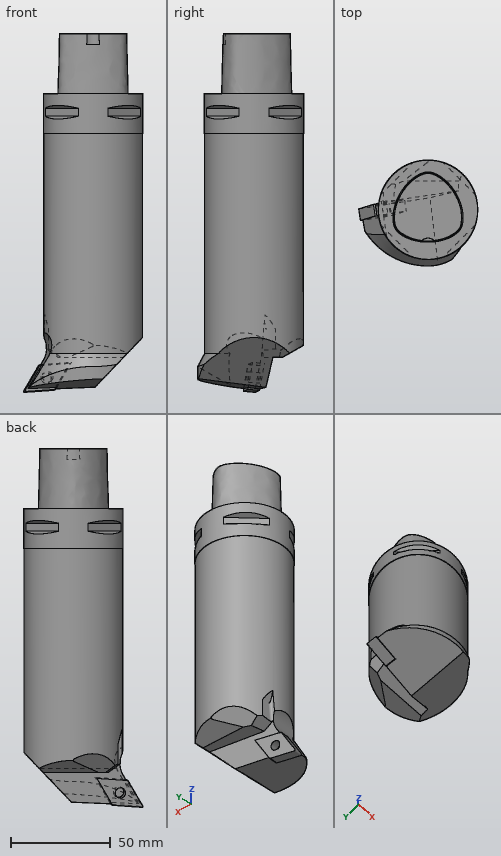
import cadquery as cq
import math

TOTAL_HEIGHT = 180.0
COLLAR_DIAMETER = 50.0
SHANK_DIAMETER = 49.7
COLLAR_BOTTOM = 130.0
COLLAR_TOP = 150.0
BIG = 108.0

TANG_BASE_RADIUS = 17.6
TANG_TOP_RADIUS = 17.0
LOBE_HEIGHT = 1.35
TANG_POINTS = 48
KEYWAY_RADIUS = 4.5
KEYWAY_CENTER_Y = -18.7
KEYWAY_DEPTH = 5.4

GROOVE_COUNT = 4
GROOVE_Z = 140.5
GROOVE_FLOOR_DISTANCE = 22.1
GROOVE_FLOOR_HEIGHT = 4.0
GROOVE_MOUTH_HEIGHT = 6.8

FLARE_TOP = 19.5
FLARE_HALF_ANGLE = 28.0
WALL_FRONT_Y = -28.3
WALL_LEFT_RADIUS = 37.5
WALL_RIGHT_RADIUS = 23.4
SLOPE_ANGLE = 46.3
SLOPE_TOP_Z = 27.5
END_FACE_Z = 1.0
END_FACE_RISE_X = 0.06
END_FACE_RISE_Y = -0.12

TIP = cq.Vector(-35.3, 0.4, -0.07)
RAKE_SLOPE_X = 0.15
RAKE_SLOPE_Z = 0.09
RAKE_PLANE = cq.Plane(
    origin=TIP.toTuple(),
    xDir=(1, RAKE_SLOPE_X, 0),
    normal=(RAKE_SLOPE_X, -1, RAKE_SLOPE_Z),
)

INSERT_SIDE = 15.8
INSERT_CORNER_ANGLE = 55.0
INSERT_TILT = 4.0
FLANK_ANGLE = INSERT_CORNER_ANGLE + INSERT_TILT
INSERT_THICKNESS = 6.0
INSERT_HOLE_DIAMETER = 5.2
INSERT_NOSE_RADIUS = 0.5

FACET_SETBACK = 0.7
RELIEF_RADIUS = 11.5
RELIEF_TANGENT_HEIGHT = 16.4

FLUTE_CORNER = (0, 14.4, 17.6)
FLUTE_FLANK_RISE = 0.57
MOUTH_CORNER = (-21.0, 13.5, 21.2)
MOUTH_SKEW = 0.16
MOUTH_DROP = 0.75
MOUTH_FLANK_RISE = 0.94
SLOT_FLOOR_X = -22.3
SLOT_WALL_Y = 11.3
SLOT_TAPER_Z = 31.7
SLOT_TOP_Z = 41.2
SLOT_BOTTOM_Z = 19.0
SLOT_CORNER_RADIUS = 1.5


def lobed_wire(mean_radius, z):
    """Closed convex curve with three lobes, one of them toward +Y."""
    points = []
    for i in range(TANG_POINTS):
        angle = 2 * math.pi * i / TANG_POINTS
        phase = 3 * (angle - math.pi / 2)
        reach = mean_radius + LOBE_HEIGHT * math.cos(phase)
        turn = -3 * LOBE_HEIGHT * math.sin(phase)
        x = reach * math.cos(angle) - turn * math.sin(angle)
        y = reach * math.sin(angle) + turn * math.cos(angle)
        points.append(cq.Vector(x, y, z))
    return cq.Wire.assembleEdges([cq.Edge.makeSpline(points, periodic=True)])


def make_tang():
    tang = cq.Workplane(
        cq.Solid.makeLoft(
            [lobed_wire(TANG_BASE_RADIUS, COLLAR_TOP), lobed_wire(TANG_TOP_RADIUS, TOTAL_HEIGHT)]
        )
    )
    keyway = (
        cq.Workplane("XY", origin=(0, KEYWAY_CENTER_Y, TOTAL_HEIGHT - KEYWAY_DEPTH))
        .circle(KEYWAY_RADIUS)
        .extrude(KEYWAY_DEPTH)
    )
    return tang.cut(keyway)


def make_collar():
    collar = (
        cq.Workplane("XY", origin=(0, 0, COLLAR_BOTTOM))
        .circle(COLLAR_DIAMETER / 2)
        .extrude(COLLAR_TOP - COLLAR_BOTTOM)
    )
    groove = (
        cq.Workplane("XZ", origin=(0, 0, GROOVE_Z))
        .moveTo(GROOVE_FLOOR_DISTANCE, -GROOVE_FLOOR_HEIGHT / 2)
        .lineTo(COLLAR_DIAMETER / 2, -GROOVE_MOUTH_HEIGHT / 2)
        .lineTo(COLLAR_DIAMETER / 2, GROOVE_MOUTH_HEIGHT / 2)
        .lineTo(GROOVE_FLOOR_DISTANCE, GROOVE_FLOOR_HEIGHT / 2)
        .close()
        .extrude(COLLAR_DIAMETER / 2, both=True)
    )
    step = 360 / GROOVE_COUNT
    for i in range(GROOVE_COUNT):
        collar = collar.cut(groove.rotate((0, 0, 0), (0, 0, 1), step * (i + 0.5)))
    return collar


def make_shank():
    return (
        cq.Workplane("XY", origin=(0, 0, FLARE_TOP))
        .circle(SHANK_DIAMETER / 2)
        .extrude(COLLAR_BOTTOM - FLARE_TOP)
    )


def make_flare():
    top_radius = SHANK_DIAMETER / 2
    bottom_radius = top_radius + FLARE_TOP * math.tan(math.radians(FLARE_HALF_ANGLE))
    cone = cq.Workplane(cq.Solid.makeCone(bottom_radius, top_radius, FLARE_TOP))
    diagonal = math.sqrt(0.5)
    left_center_y = WALL_FRONT_Y + WALL_LEFT_RADIUS
    right_center_y = WALL_FRONT_Y + WALL_RIGHT_RADIUS
    wall = (
        cq.Workplane("XY")
        .moveTo(-WALL_LEFT_RADIUS, left_center_y)
        .threePointArc(
            (-WALL_LEFT_RADIUS * diagonal, left_center_y - WALL_LEFT_RADIUS * diagonal),
            (0, WALL_FRONT_Y),
        )
        .threePointArc(
            (WALL_RIGHT_RADIUS * diagonal, right_center_y - WALL_RIGHT_RADIUS * diagonal),
            (WALL_RIGHT_RADIUS, right_center_y),
        )
        .lineTo(WALL_RIGHT_RADIUS, BIG)
        .lineTo(-WALL_LEFT_RADIUS, BIG)
        .close()
        .extrude(FLARE_TOP)
    )
    return cone.intersect(wall)


def make_slope_cutter():
    """Removes the lower +X corner of the head."""
    foot_x = SHANK_DIAMETER / 2 - BIG / math.tan(math.radians(SLOPE_ANGLE))
    return (
        cq.Workplane("XZ")
        .moveTo(SHANK_DIAMETER / 2, SLOPE_TOP_Z)
        .lineTo(foot_x, SLOPE_TOP_Z - BIG)
        .lineTo(BIG, SLOPE_TOP_Z - BIG)
        .lineTo(BIG, SLOPE_TOP_Z)
        .close()
        .extrude(BIG, both=True)
    )


def make_end_cutter():
    """Removes everything under the slightly tilted end face."""
    plane = cq.Plane(
        origin=(TIP.x, TIP.y, END_FACE_Z),
        xDir=(1, 0, END_FACE_RISE_X),
        normal=(END_FACE_RISE_X, END_FACE_RISE_Y, -1),
    )
    return cq.Workplane(plane).rect(2 * BIG, 2 * BIG).extrude(BIG)


def make_flank_cutter():
    """Flat flank facet that runs tangent into a round relief."""
    angle = math.radians(FLANK_ANGLE)
    along_x, along_y = math.cos(angle), math.sin(angle)
    facet_x = FACET_SETBACK / along_y
    tangent_x = facet_x + RELIEF_TANGENT_HEIGHT * along_x / along_y
    center_x = tangent_x - RELIEF_RADIUS * along_y
    center_y = RELIEF_TANGENT_HEIGHT + RELIEF_RADIUS * along_x
    foot_x = facet_x - BIG * along_x / along_y
    return (
        cq.Workplane(RAKE_PLANE)
        .moveTo(foot_x, -BIG)
        .lineTo(tangent_x, RELIEF_TANGENT_HEIGHT)
        .threePointArc((center_x + RELIEF_RADIUS, center_y), (center_x, center_y + RELIEF_RADIUS))
        .lineTo(-BIG, center_y + RELIEF_RADIUS)
        .lineTo(-BIG, -BIG)
        .close()
        .extrude(BIG)
    )


def make_rake_side():
    """The space in front of the rake face."""
    return cq.Workplane(RAKE_PLANE).rect(2 * BIG, 2 * BIG).extrude(-BIG)


def make_roofed_space(section, flank_rise):
    """Space under a roof that turns up into a flank, with its corner at the section's origin."""
    return (
        cq.Workplane(section)
        .moveTo(-BIG, 0)
        .lineTo(0, 0)
        .lineTo(BIG, BIG * flank_rise)
        .lineTo(BIG, -BIG)
        .lineTo(-BIG, -BIG)
        .close()
        .extrude(BIG, both=True)
    )


def make_flute():
    """Level flute with a steep mouth at its -X end, bounded by the rake face."""
    flute_section = cq.Plane(origin=FLUTE_CORNER, xDir=(0, 1, 0), normal=(1, 0, 0))
    mouth_section = cq.Plane(
        origin=MOUTH_CORNER,
        xDir=(MOUTH_SKEW, 1, 0),
        normal=(1, -MOUTH_SKEW, -MOUTH_DROP),
    )
    flute = make_roofed_space(flute_section, FLUTE_FLANK_RISE)
    mouth = make_roofed_space(mouth_section, MOUTH_FLANK_RISE)
    mouth = mouth.intersect(cq.Workplane("XY").box(BIG, BIG, BIG).translate((-BIG / 2, 0, 0)))
    return flute.union(mouth).intersect(make_rake_side())


def make_slot():
    """Narrow slot above the flute, beside the rake plane, running out at its top."""
    outer_x = -SHANK_DIAMETER / 2
    profile = (
        cq.Workplane("XZ")
        .moveTo(SLOT_FLOOR_X, SLOT_BOTTOM_Z)
        .lineTo(SLOT_FLOOR_X, SLOT_TAPER_Z)
        .lineTo(outer_x, SLOT_TOP_Z)
        .lineTo(outer_x, SLOT_BOTTOM_Z)
        .close()
        .extrude(-SLOT_WALL_Y)
    )
    corner = cq.selectors.NearestToPointSelector(
        (SLOT_FLOOR_X, TIP.y, (SLOT_BOTTOM_Z + SLOT_TAPER_Z) / 2)
    )
    return profile.intersect(make_rake_side()).edges(corner).fillet(SLOT_CORNER_RADIUS)


def insert_corners():
    """Rhombus corners in the rake plane, counterclockwise from the tip."""
    end_angle = math.radians(INSERT_TILT)
    flank_angle = math.radians(FLANK_ANGLE)
    end_x, end_y = INSERT_SIDE * math.cos(end_angle), INSERT_SIDE * math.sin(end_angle)
    flank_x, flank_y = INSERT_SIDE * math.cos(flank_angle), INSERT_SIDE * math.sin(flank_angle)
    return [(0, 0), (end_x, end_y), (end_x + flank_x, end_y + flank_y), (flank_x, flank_y)]


def make_insert_blank():
    return cq.Workplane(RAKE_PLANE).polyline(insert_corners()).close().extrude(INSERT_THICKNESS)


def make_insert():
    far_x, far_y = insert_corners()[2]
    hole = (
        cq.Workplane(RAKE_PLANE)
        .center(far_x / 2, far_y / 2)
        .circle(INSERT_HOLE_DIAMETER / 2)
        .extrude(INSERT_THICKNESS)
    )
    nose = cq.selectors.NearestToPointSelector(
        RAKE_PLANE.toWorldCoords((0, 0, INSERT_THICKNESS / 2)).toTuple()
    )
    return make_insert_blank().edges(nose).fillet(INSERT_NOSE_RADIUS).cut(hole)


def make_holder():
    holder = make_shank().union(make_flare())
    for cutter in (
        make_slope_cutter(),
        make_end_cutter(),
        make_flank_cutter(),
        make_flute(),
        make_slot(),
        make_insert_blank(),
    ):
        holder = holder.cut(cutter)
    return holder.union(make_collar()).union(make_tang())


holder = make_holder()
insert = make_insert()

result = cq.Compound.makeCompound([holder.val(), insert.val()])